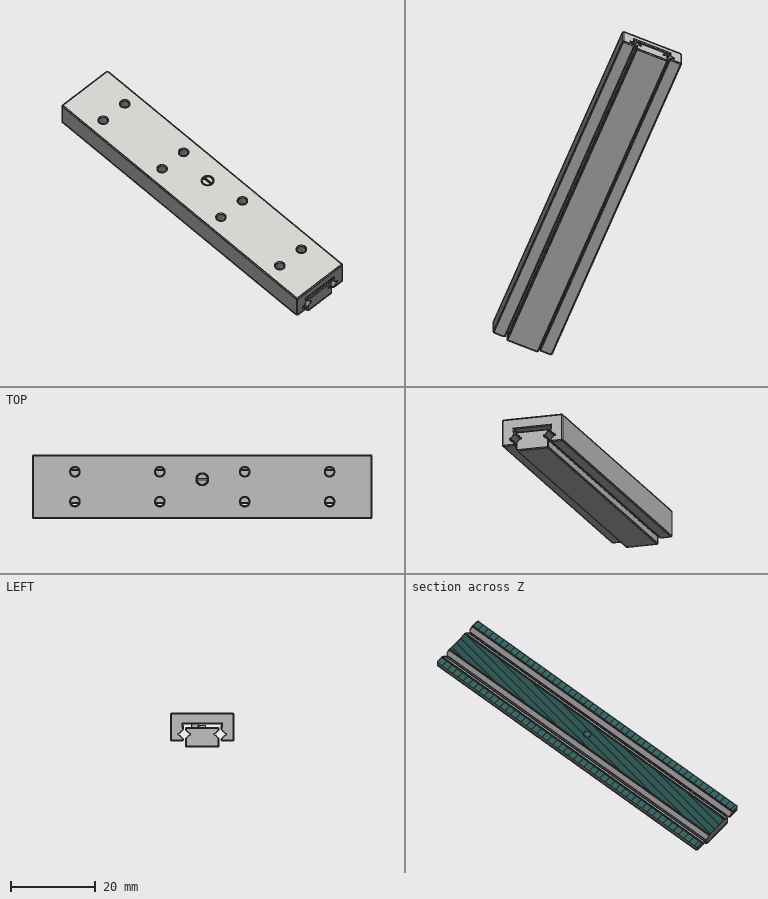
import cadquery as cq
import math

LENGTH = 80.0
WIDTH = 15.0
HEIGHT = 8.0
EDGE_CHAMFER = 0.2

GROOVE_HEIGHT = 3.0
CARRIAGE_GROOVE_HALF_SPAN = 5.6
RAIL_GROOVE_HALF_SPAN = 2.9
RELIEF_DEPTH = 0.1
RELIEF_HEIGHT = 0.3

CARRIAGE_BOTTOM = 1.4
CHANNEL_CEILING = 5.4
CHANNEL_HALF_WIDTH = 4.6
LIP_HALF_WIDTH = 4.4
LIP_TOP = 5.0

RAIL_TOP = 4.6
RAIL_WIDTH = 8.0

HOLE_COUNT = 4
HOLE_PITCH = 20.0
HOLE_ROW_OFFSET = 3.5
HOLE_DIAMETER = 2.0
HOLE_MOUTH_DIAMETER = 2.5

SCREW_OFFSET = 1.8
SCREW_DIAMETER = 2.5
SCREW_MOUTH_DIAMETER = 3.0
SCREW_TIP_DIAMETER = 1.6
SLOT_WIDTH = 0.4
SLOT_DEPTH = 0.5

PIN_DIAMETER = 1.6
PIN_TOP = 5.1
PIN_DEPTH = 2.0


def lengthwise_prism(outline):
    """Extrude a closed (Y, Z) outline over the full length."""
    return cq.Workplane("YZ", origin=(-LENGTH / 2, 0, 0)).polyline(outline).close().extrude(LENGTH)


def vertical_cylinder(x, y, bottom, top, diameter):
    return cq.Workplane("XY", origin=(x, y, bottom)).circle(diameter / 2).extrude(top - bottom)


def countersunk_hole(x, y, diameter, mouth_diameter):
    """Cutter for a hole from the carriage top into the channel, with a 45 degree mouth."""
    shaft = vertical_cylinder(x, y, CHANNEL_CEILING, HEIGHT, diameter)
    depth = (mouth_diameter - diameter) / 2
    mouth = (
        cq.Workplane("XY", origin=(x, y, HEIGHT))
        .circle(mouth_diameter / 2)
        .workplane(offset=-depth)
        .circle(diameter / 2)
        .loft()
    )
    return shaft.union(mouth)


def make_channel():
    """Cutter for the space inside the carriage, a little wider above the lips."""
    half_outline = [
        (LIP_HALF_WIDTH, CARRIAGE_BOTTOM),
        (LIP_HALF_WIDTH, LIP_TOP),
        (CHANNEL_HALF_WIDTH, LIP_TOP),
        (CHANNEL_HALF_WIDTH, CHANNEL_CEILING),
    ]
    other_half = [(-y, z) for y, z in reversed(half_outline)]
    return lengthwise_prism(half_outline + other_half)


def v_grooves(mouth_half_span, apex_half_span):
    """Cutter for two 45 degree V-grooves, one per side, each with a relief slot at its apex."""
    depth = abs(apex_half_span - mouth_half_span)
    deepening = math.copysign(1, apex_half_span - mouth_half_span)
    slot_half_span = apex_half_span + deepening * RELIEF_DEPTH
    slot_start = apex_half_span - deepening * RELIEF_HEIGHT / 2
    upper_half = [
        (mouth_half_span, depth),
        (slot_start, RELIEF_HEIGHT / 2),
        (slot_half_span, RELIEF_HEIGHT / 2),
    ]
    outline = upper_half + [(y, -z) for y, z in reversed(upper_half)]
    grooves = cq.Workplane("YZ")
    for side in (-1, 1):
        grooves = grooves.union(lengthwise_prism([(side * y, GROOVE_HEIGHT + z) for y, z in outline]))
    return grooves


def make_carriage():
    carriage = (
        cq.Workplane("XY", origin=(0, 0, CARRIAGE_BOTTOM))
        .box(LENGTH, WIDTH, HEIGHT - CARRIAGE_BOTTOM, centered=(True, True, False))
        .cut(make_channel())
        .faces("<Z or >Z")
        .edges("|X")
        .chamfer(EDGE_CHAMFER)
        .faces("<X or >X")
        .chamfer(EDGE_CHAMFER)
        .cut(v_grooves(LIP_HALF_WIDTH, CARRIAGE_GROOVE_HALF_SPAN))
    )
    for i in range(HOLE_COUNT):
        x = (i - (HOLE_COUNT - 1) / 2) * HOLE_PITCH
        for y in (-HOLE_ROW_OFFSET, HOLE_ROW_OFFSET):
            carriage = carriage.cut(countersunk_hole(x, y, HOLE_DIAMETER, HOLE_MOUTH_DIAMETER))
    return carriage.cut(countersunk_hole(0, SCREW_OFFSET, SCREW_DIAMETER, SCREW_MOUTH_DIAMETER))


def make_rail():
    return (
        cq.Workplane("XY")
        .box(LENGTH, RAIL_WIDTH, RAIL_TOP, centered=(True, True, False))
        .edges()
        .chamfer(EDGE_CHAMFER)
        .cut(v_grooves(RAIL_WIDTH / 2, RAIL_GROOVE_HALF_SPAN))
        .cut(vertical_cylinder(0, 0, RAIL_TOP - PIN_DEPTH, RAIL_TOP, PIN_DIAMETER))
    )


def make_screw():
    body = vertical_cylinder(0, SCREW_OFFSET, CHANNEL_CEILING, HEIGHT, SCREW_DIAMETER)
    tip = vertical_cylinder(0, SCREW_OFFSET, RAIL_TOP, CHANNEL_CEILING, SCREW_TIP_DIAMETER)
    slot = cq.Workplane("XY", origin=(0, SCREW_OFFSET, HEIGHT)).box(
        SCREW_DIAMETER, SLOT_WIDTH, 2 * SLOT_DEPTH
    )
    return body.union(tip).cut(slot)


def make_pin():
    return vertical_cylinder(0, 0, RAIL_TOP - PIN_DEPTH, PIN_TOP, PIN_DIAMETER)


carriage = make_carriage()
rail = make_rail()
screw = make_screw()
pin = make_pin()
result = cq.Compound.makeCompound([carriage.val(), rail.val(), screw.val(), pin.val()])